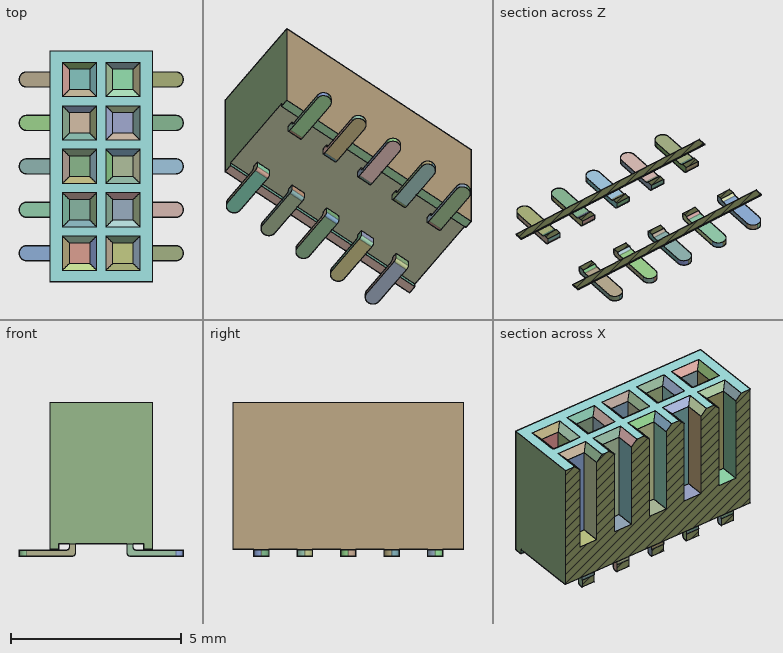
import cadquery as cq

ROWS = 5
COLUMNS = 2
PITCH = 1.27

BODY_WIDTH = 3.0
BODY_LENGTH = 6.75
BODY_TOP = 4.5
RAIL_BOTTOM = 0.2
RAIL_HEIGHT = 0.16
RAIL_WIDTH = 0.26
BODY_UNDERSIDE = RAIL_BOTTOM + RAIL_HEIGHT

SOCKET_MOUTH = 1.0
SOCKET_BORE = 0.6
LEAD_IN_ANGLE = 45
LEAD_IN_DEPTH = (SOCKET_MOUTH - SOCKET_BORE) / 2
SOCKET_DEPTH = 3.0

PIN_SPAN = 4.8
PIN_WIDTH = 0.45
PIN_THICKNESS = 0.18
LEG_INNER_X = 0.75
LEG_OUTER_X = LEG_INNER_X + PIN_THICKNESS
TIP_RADIUS = 0.22
HEEL_RADIUS = 0.1
BEND_RADIUS = 0.1
LEG_EMBED = 0.2


def make_body():
    """Housing block with a rail left standing along each long bottom edge."""
    block = cq.Workplane("XY").workplane(offset=RAIL_BOTTOM).rect(BODY_WIDTH, BODY_LENGTH)
    block = block.extrude(BODY_TOP - RAIL_BOTTOM)
    channel = cq.Workplane("XY").workplane(offset=RAIL_BOTTOM)
    channel = channel.rect(BODY_WIDTH - 2 * RAIL_WIDTH, BODY_LENGTH).extrude(RAIL_HEIGHT)
    return block.cut(channel)


def make_sockets():
    """Cutters for all sockets: a square bore below a tapered lead-in."""
    mouths = cq.Workplane("XY").workplane(offset=BODY_TOP)
    mouths = mouths.rarray(PITCH, PITCH, COLUMNS, ROWS)
    bores = mouths.rect(SOCKET_BORE, SOCKET_BORE).extrude(-SOCKET_DEPTH)
    lead_ins = mouths.rect(SOCKET_MOUTH, SOCKET_MOUTH).extrude(-LEAD_IN_DEPTH, taper=LEAD_IN_ANGLE)
    return bores.union(lead_ins)


def make_pin():
    """L-shaped pin on the +X side: a round-ended foot and an upright leg."""
    tip_x = PIN_SPAN / 2
    leg_top = BODY_UNDERSIDE + LEG_EMBED
    profile = (
        cq.Workplane("XZ")
        .moveTo(LEG_INNER_X + HEEL_RADIUS, 0)
        .lineTo(tip_x, 0)
        .lineTo(tip_x, PIN_THICKNESS)
        .lineTo(LEG_OUTER_X + BEND_RADIUS, PIN_THICKNESS)
        .radiusArc((LEG_OUTER_X, PIN_THICKNESS + BEND_RADIUS), BEND_RADIUS)
        .lineTo(LEG_OUTER_X, leg_top)
        .lineTo(LEG_INNER_X, leg_top)
        .lineTo(LEG_INNER_X, HEEL_RADIUS)
        .radiusArc((LEG_INNER_X + HEEL_RADIUS, 0), -HEEL_RADIUS)
        .close()
    )
    pin = profile.extrude(PIN_WIDTH / 2, both=True)
    return pin.faces(">X").edges("|Z").fillet(TIP_RADIUS)


result = make_body().cut(make_sockets())
right_pin = make_pin()
left_pin = right_pin.mirror("YZ")
for row in range(ROWS):
    row_y = (row - (ROWS - 1) / 2) * PITCH
    for pin in (left_pin, right_pin):
        result = result.union(pin.translate((0, row_y, 0)))